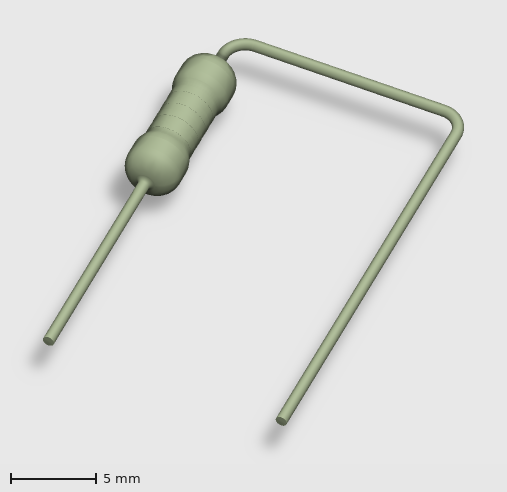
import cadquery as cq
import math

total_length = 26.35
lead_diameter = 0.7
lead_radius = lead_diameter / 2
lead_spacing = 15.0
bend_radius = 1.42
body_centre_to_back = 7.75

cap_radius = 3.5 / 2
waist_radius = 2.98 / 2
band_radius = 3.0 / 2

waist_half_length = 1.8
cap_start = 2.85
dome_start = 3.8
dome_end = 5.0
neck_end = 5.38
dome_end_radius = 0.63

band_count = 4

back_y = body_centre_to_back - lead_radius
front_y = body_centre_to_back - total_length
bend_start_y = back_y - bend_radius
bend_midpoint_offset = bend_radius * (1 - math.sqrt(0.5))


def make_lead():
    """Round wire through the body, bent twice and returned parallel to it."""
    path = (
        cq.Workplane("XY")
        .moveTo(0, front_y)
        .lineTo(0, bend_start_y)
        .threePointArc(
            (bend_midpoint_offset, back_y - bend_midpoint_offset),
            (bend_radius, back_y),
        )
        .lineTo(lead_spacing - bend_radius, back_y)
        .threePointArc(
            (lead_spacing - bend_midpoint_offset, back_y - bend_midpoint_offset),
            (lead_spacing, bend_start_y),
        )
        .lineTo(lead_spacing, front_y)
    )
    start = cq.Workplane("XZ", origin=(0, front_y, 0))
    return start.circle(lead_radius).sweep(path)


def make_body_end():
    """Shoulder, cap, dome and neck of the +Y end of the body."""
    half_rise = (cap_radius - waist_radius) / 2
    half_run = (cap_start - waist_half_length) / 2
    shoulder_arc_radius = (half_rise**2 + half_run**2) / (2 * half_rise)
    shoulder_middle = (waist_radius + half_rise, waist_half_length + half_run)
    profile = (
        cq.Workplane("XY")
        .moveTo(0, waist_half_length)
        .lineTo(waist_radius, waist_half_length)
        .radiusArc(shoulder_middle, shoulder_arc_radius)
        .tangentArcPoint((cap_radius, cap_start), relative=False)
        .lineTo(cap_radius, dome_start)
        .tangentArcPoint((dome_end_radius, dome_end), relative=False)
        .tangentArcPoint((lead_radius, neck_end), relative=False)
        .lineTo(0, neck_end)
        .close()
    )
    return profile.revolve(360, (0, 0, 0), (0, 1, 0))


def make_waist():
    """Plain cylinder between the two body ends."""
    return cq.Workplane("XZ").circle(waist_radius).extrude(waist_half_length, both=True)


def make_bands():
    """Slightly raised colour bands, separated by gaps of the band width."""
    band_width = 2 * waist_half_length / (2 * band_count - 1)
    bands = cq.Workplane("XY")
    for index in range(band_count):
        band_end = -waist_half_length + (2 * index + 1) * band_width
        band = (
            cq.Workplane("XZ", origin=(0, band_end, 0))
            .circle(band_radius)
            .extrude(band_width)
        )
        bands = bands.add(band)
    return bands.combine()


body_end = make_body_end()
body = make_waist().union(body_end).union(body_end.mirror("XZ")).union(make_bands())
result = body.union(make_lead())